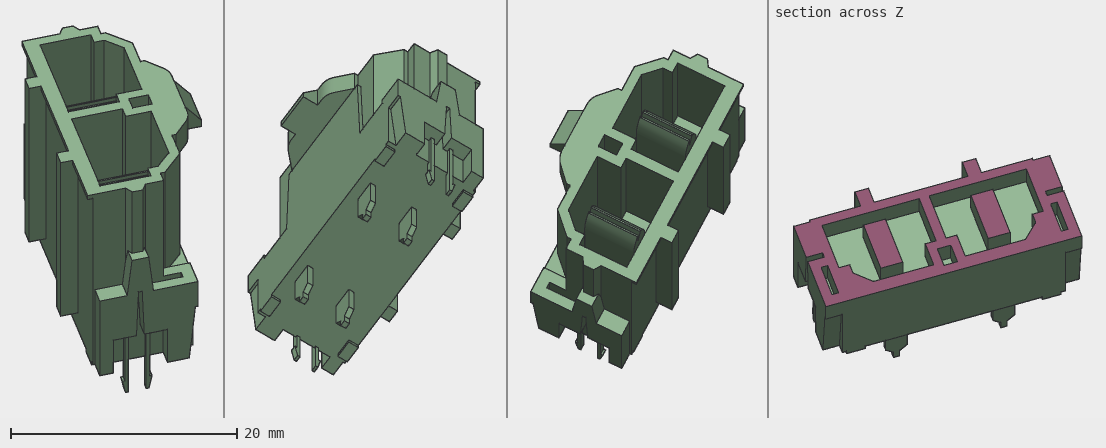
import cadquery as cq
import math


height = 20.6
body_half_width = 10.4
body_front = 0.38
body_shoulder = 6.9
neck_half_width = 9.4
body_back = 9.25
body_corner_run = 1.94
lip_height = 0.48
lip_front = -0.09

pitch = 10.0
rail_width = 1.3
rail_front = -1.19
rail_bottom = 2.02

ridge_half_width = 11.05
ridge_y = 4.31
ridge_base = 1.82
ridge_tip = 0.98

wall = 0.9
cavity_front = 1.32
cavity_inner = 0.48
cavity_shoulder = 6.0
cavity_step = 1.01
cavity_back = 8.35
cavity_corner = 1.42
cavity_floor = 6.0
key_width = 1.22
key_front = 6.9
key_back = 8.7

panel_back = 9.62
panel_top_half = 5.44
panel_bottom_half = 5.83
shelf_bottom = 17.82
shelf_back = 11.39
shelf_half_base = 4.98
shelf_half_back = 3.1
shelf_corner_radius = 1.8
hook_width = 3.54
hook_tip = 12.91
hook_tip_height = 0.74

ear_half_width = 11.94
ear_front = 0.57
ear_top = 9.04
ear_taper_top = 6.05
ear_taper_offset = 0.24
ear_taper_foot = 0.8
flange_top = 8.44

post_y = 4.31
post_top = 13.18
post_base_width = 2.42
post_top_width = 1.54

clip_inner = body_half_width
clip_outer = 10.97
clip_bottom = -3.6
barb_top = -2.15
prong_half_gap = 0.82
prong_width = 0.33
prong_tip_width = 0.26
barb_reach = 0.22
recess_top = 3.97
recess_floor = 10.6
recess_width = 4.98
groove_top = 9.2
groove_top_width = 0.34
groove_bottom_width = 0.72
groove_step = 6.6
slot_front = post_y + post_base_width / 2
slot_back = 8.52
slot_depth = 3.0

foot_drop = 0.37
foot_inner = 8.24
foot_outer = 9.99
front_foot_back = 1.4
back_foot_front = 8.65

blade_width = 2.08
blade_front = 2.39
blade_back = 7.27
blade_top = 16.6
blade_nose_height = 2.5
fork_half_gap = 0.2
fork_tip = 0.14
fork_depth = 1.4
tail_depth = 0.54
tail_rows = (3.96, 8.33)
tail_width = 2.02
tail_tip_width = 0.58
tail_taper_start = -3.16
tail_taper_end = -3.82
tail_bottom = -4.65

sides = (-1, 1)
circuit_x = [side * pitch / 2 for side in sides]


def box(x0, x1, y0, y1, z0, z1):
    return cq.Workplane("XY").box(x1 - x0, y1 - y0, z1 - z0, centered=False).translate((x0, y0, z0))


def mirrored_box(half_width, y0, y1, z0, z1):
    return box(-half_width, half_width, y0, y1, z0, z1)


def both_sides(right_half):
    return right_half.union(right_half.mirror("YZ"))


def prism_z(points, z0, z1):
    return cq.Workplane("XY").workplane(offset=z0).polyline(points).close().extrude(z1 - z0)


def prism_x(points_yz, x0, x1):
    return cq.Workplane("YZ").workplane(offset=x0).polyline(points_yz).close().extrude(x1 - x0)


def prism_y(points_xz, y0, y1):
    return cq.Workplane("XZ").workplane(offset=-y1).polyline(points_xz).close().extrude(y1 - y0)


def trapezoid(centre, bottom, bottom_width, top, top_width):
    return [
        (centre - bottom_width / 2, bottom),
        (centre + bottom_width / 2, bottom),
        (centre + top_width / 2, top),
        (centre - top_width / 2, top),
    ]


def make_housing():
    right_half = [
        (body_half_width, body_front),
        (body_half_width, body_shoulder),
        (neck_half_width, body_shoulder),
        (neck_half_width, body_back - body_corner_run),
        (neck_half_width - body_corner_run, body_back),
    ]
    left_half = [(-x, y) for x, y in reversed(right_half)]
    housing = prism_z(right_half + left_half, 0, height)
    housing = housing.union(mirrored_box(body_half_width, lip_front, body_front, height - lip_height, height))
    for x in circuit_x:
        rail = box(x - rail_width / 2, x + rail_width / 2, rail_front, body_front, rail_bottom, height)
        housing = housing.union(rail)
    ridge = prism_z(
        [
            (body_half_width, ridge_y - ridge_base / 2),
            (ridge_half_width, ridge_y - ridge_tip / 2),
            (ridge_half_width, ridge_y + ridge_tip / 2),
            (body_half_width, ridge_y + ridge_base / 2),
        ],
        ear_top,
        height,
    )
    return housing.union(both_sides(ridge))


def make_rear_panel_and_latch():
    panel_profile = trapezoid(0, flange_top, 2 * panel_bottom_half, shelf_bottom, 2 * panel_top_half)
    panel = prism_y(panel_profile, body_shoulder, panel_back)
    shelf = prism_z(
        [
            (-shelf_half_base, body_shoulder),
            (shelf_half_base, body_shoulder),
            (shelf_half_base, panel_back),
            (shelf_half_back, shelf_back),
            (-shelf_half_back, shelf_back),
            (-shelf_half_base, panel_back),
        ],
        shelf_bottom,
        height,
    )
    shelf = shelf.edges("|Z").edges(">Y").fillet(shelf_corner_radius)
    hook_profile = [
        (body_shoulder, shelf_bottom),
        (hook_tip, shelf_bottom),
        (hook_tip, shelf_bottom + hook_tip_height),
        (shelf_back, height),
        (body_shoulder, height),
    ]
    hook = prism_x(hook_profile, -hook_width / 2, hook_width / 2)
    return panel.union(shelf).union(hook)


def make_cavities():
    inner_step = cavity_inner + cavity_step
    outer = body_half_width - wall
    outer_step = outer - cavity_step
    cavity = prism_z(
        [
            (cavity_inner, cavity_front),
            (outer, cavity_front),
            (outer, cavity_shoulder),
            (outer_step, cavity_shoulder),
            (outer_step, cavity_back - cavity_corner),
            (outer_step - cavity_corner, cavity_back),
            (inner_step, cavity_back),
            (inner_step, cavity_shoulder),
            (cavity_inner, cavity_shoulder),
        ],
        cavity_floor,
        height,
    )
    key_hole = mirrored_box(key_width / 2, key_front, key_back, cavity_floor, height)
    return both_sides(cavity).union(key_hole)


def make_ears():
    outer_profile = [
        (ear_front, 0),
        (panel_back - ear_taper_foot, 0),
        (panel_back - ear_taper_offset, ear_taper_top),
        (panel_back, ear_taper_top),
        (panel_back, ear_top),
        (ear_front, ear_top),
    ]
    outer_part = prism_x(outer_profile, body_half_width, ear_half_width)
    inner_part = box(neck_half_width, body_half_width, body_shoulder, panel_back, 0, ear_top)
    post_profile = trapezoid(post_y, ear_top, post_base_width, post_top, post_top_width)
    post = prism_x(post_profile, body_half_width, ear_half_width)
    ear = outer_part.union(inner_part).union(post)

    recess_front = post_y - recess_width / 2
    recess = box(recess_floor, ear_half_width, recess_front, recess_front + recess_width, 0, recess_top)
    groove_profile = trapezoid(post_y, recess_top, groove_bottom_width, groove_top, groove_top_width)
    groove = prism_x(groove_profile, clip_inner, ear_half_width)
    groove_back = mirrored_box(recess_floor, ear_front, panel_back, 0, groove_step)
    clip_slot = box(clip_inner, clip_outer, slot_front, slot_back, ear_top - slot_depth, ear_top)
    ear = ear.cut(recess).cut(groove.cut(groove_back)).cut(clip_slot)

    flange = mirrored_box(neck_half_width, body_shoulder, panel_back, 0, flange_top)
    return both_sides(ear).union(flange)


def make_clips():
    clips = cq.Workplane("XY")
    for side in sides:
        inner_y = post_y + side * prong_half_gap
        outer_y = inner_y + side * prong_width
        prong_profile = [
            (inner_y, recess_top),
            (inner_y, clip_bottom),
            (inner_y + side * prong_tip_width, clip_bottom),
            (outer_y + side * barb_reach, barb_top),
            (outer_y, barb_top),
            (outer_y, recess_top),
        ]
        clips = clips.union(prism_x(prong_profile, clip_inner, clip_outer))
    return both_sides(clips)


def make_feet():
    front_foot = box(foot_inner, foot_outer, body_front, front_foot_back, -foot_drop, 0)
    back_foot = box(foot_inner, foot_outer, back_foot_front, panel_back, -foot_drop, 0)
    return both_sides(front_foot.union(back_foot))


def make_blade(x):
    """Forked blade: rounded outer flanks, and a notch with one upright and one sloping wall."""
    flank = blade_width / 2
    tip_edge = fork_half_gap + fork_tip
    nose_base = blade_top - blade_nose_height
    nose_run = flank - tip_edge
    nose_radius = (blade_nose_height**2 + nose_run**2) / (2 * nose_run)
    nose_angle = math.asin(blade_nose_height / nose_radius) / 2
    nose_middle = (
        flank - nose_radius * (1 - math.cos(nose_angle)),
        nose_base + nose_radius * math.sin(nose_angle),
    )
    return (
        cq.Workplane("XZ", origin=(x, blade_back, 0))
        .moveTo(-flank, cavity_floor)
        .lineTo(-flank, nose_base)
        .threePointArc((-nose_middle[0], nose_middle[1]), (-tip_edge, blade_top))
        .lineTo(-fork_half_gap, blade_top)
        .lineTo(-fork_half_gap, blade_top - fork_depth)
        .lineTo(fork_half_gap, blade_top)
        .lineTo(tip_edge, blade_top)
        .threePointArc(nose_middle, (flank, nose_base))
        .lineTo(flank, cavity_floor)
        .close()
        .extrude(blade_back - blade_front)
    )


def make_tail(x, y):
    half = tail_width / 2
    tip_half = tail_tip_width / 2
    profile = [
        (x - half, 0),
        (x - half, tail_taper_start),
        (x - tip_half, tail_taper_end),
        (x - tip_half, tail_bottom),
        (x + tip_half, tail_bottom),
        (x + tip_half, tail_taper_end),
        (x + half, tail_taper_start),
        (x + half, 0),
    ]
    return prism_y(profile, y - tail_depth / 2, y + tail_depth / 2)


result = make_housing().union(make_rear_panel_and_latch()).union(make_ears())
result = result.cut(make_cavities()).union(make_clips()).union(make_feet())
for contact_x in circuit_x:
    result = result.union(make_blade(contact_x))
    for row_y in tail_rows:
        result = result.union(make_tail(contact_x, row_y))